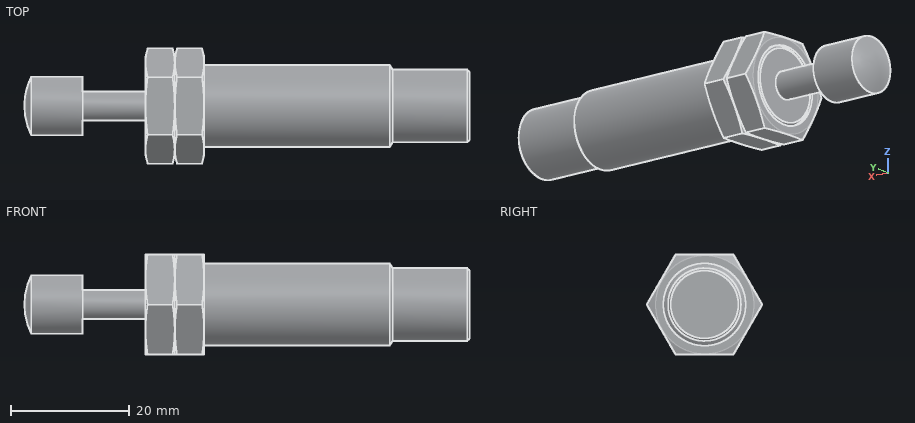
import cadquery as cq
import math

total_length = 75.5

cap_diameter = 10.0
cap_end = 9.9
dome_height = 1.2
rod_diameter = 5.0

barrel_diameter = 14.0
barrel_start = 20.5
front_face_diameter = 12.9
front_chamfer = (barrel_diameter - front_face_diameter) / 2
shoulder_start = 61.9
shoulder_length = 0.5
tail_diameter = 12.4
tail_chamfer = 0.45

nut_count = 2
nut_thickness = 5.0
nut_across_flats = 17.0
nut_across_corners = nut_across_flats / math.cos(math.pi / 6)
nut_face_diameter = 16.7
nut_corner_depth = 0.4


def make_absorber():
    """Cap, rod and barrel revolved as one solid about the X axis."""
    cap_radius = cap_diameter / 2
    rod_radius = rod_diameter / 2
    barrel_radius = barrel_diameter / 2
    tail_radius = tail_diameter / 2
    dome_radius = (cap_radius**2 + dome_height**2) / (2 * dome_height)
    half_angle = math.asin(cap_radius / dome_radius) / 2
    dome_middle = (dome_radius * (1 - math.cos(half_angle)), dome_radius * math.sin(half_angle))
    return (
        cq.Workplane("XY")
        .moveTo(0, 0)
        .threePointArc(dome_middle, (dome_height, cap_radius))
        .lineTo(cap_end, cap_radius)
        .lineTo(cap_end, rod_radius)
        .lineTo(barrel_start, rod_radius)
        .lineTo(barrel_start, front_face_diameter / 2)
        .lineTo(barrel_start + front_chamfer, barrel_radius)
        .lineTo(shoulder_start, barrel_radius)
        .lineTo(shoulder_start + shoulder_length, tail_radius)
        .lineTo(total_length - tail_chamfer, tail_radius)
        .lineTo(total_length, tail_radius - tail_chamfer)
        .lineTo(total_length, 0)
        .close()
        .revolve(360, (0, 0), (1, 0))
    )


def make_nut(start):
    """Hex nut with corners on the Y axis and both faces chamfered to a circle."""
    end = start + nut_thickness
    bore_radius = barrel_diameter / 2
    face_radius = nut_face_diameter / 2
    corner_radius = nut_across_corners / 2
    hexagon = (
        cq.Workplane("YZ", origin=(start, 0, 0))
        .polygon(6, nut_across_corners)
        .extrude(nut_thickness)
    )
    chamfered_ring = (
        cq.Workplane("XY")
        .moveTo(start, bore_radius)
        .lineTo(start, face_radius)
        .lineTo(start + nut_corner_depth, corner_radius)
        .lineTo(end - nut_corner_depth, corner_radius)
        .lineTo(end, face_radius)
        .lineTo(end, bore_radius)
        .close()
        .revolve(360, (0, 0), (1, 0))
    )
    return hexagon.intersect(chamfered_ring).solids()


absorber = make_absorber()
nuts = [make_nut(barrel_start + i * nut_thickness) for i in range(nut_count)]

result = cq.Compound.makeCompound([absorber.val(), *[nut.val() for nut in nuts]])